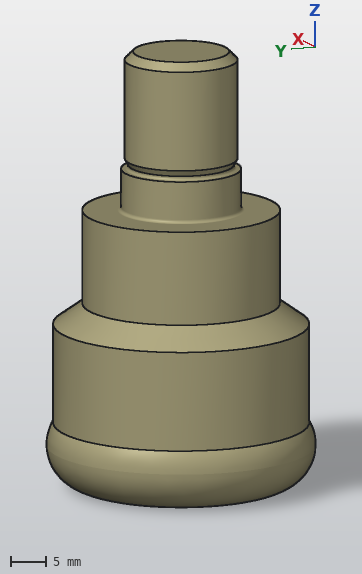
import cadquery as cq
import math

foot_radius = 19.05
foot_round = 6.0

barrel_radius = 18.125
barrel_top = 23.5
neck_radius = 14.0
neck_bottom = 26.5
neck_top = 40.0

collar_radius = 8.5
collar_top = 46.0
collar_fillet = 0.5

total_height = 63.0
stud_radius = 8.0
stud_chamfer = 1.2
groove_radius = 7.5
groove_fillet = 0.4
groove_land = 0.2
groove_height = 1.5

round_center_radius = foot_radius - foot_round
foot_height = 2 * foot_round
barrel_bottom = foot_round + math.sqrt(foot_round**2 - (barrel_radius - round_center_radius) ** 2)


def revolved(profile):
    """Turn a half profile in the XZ plane into a solid around the Z axis."""
    return profile.close().revolve(360, (0, 0, 0), (0, 1, 0))


def make_foot():
    """Disc with a fully rounded side, made of two quarter rounds."""
    round_offset = foot_round * math.sqrt(0.5)
    round_middle_radius = round_center_radius + round_offset
    profile = (
        cq.Workplane("XZ")
        .lineTo(round_center_radius, 0)
        .threePointArc((round_middle_radius, foot_round - round_offset), (foot_radius, foot_round))
        .threePointArc((round_middle_radius, foot_round + round_offset), (round_center_radius, foot_height))
        .lineTo(0, foot_height)
    )
    return revolved(profile)


def make_stem(foot):
    """Barrel, neck, collar and stud in one piece, recessed underneath to sit over the foot."""
    profile = (
        cq.Workplane("XZ")
        .moveTo(0, barrel_bottom)
        .lineTo(barrel_radius, barrel_bottom)
        .lineTo(barrel_radius, barrel_top)
        .lineTo(neck_radius, neck_bottom)
        .lineTo(neck_radius, neck_top)
        .lineTo(collar_radius + collar_fillet, neck_top)
        .radiusArc((collar_radius, neck_top + collar_fillet), collar_fillet)
        .lineTo(collar_radius, collar_top)
        .lineTo(groove_radius + groove_fillet, collar_top)
        .radiusArc((groove_radius, collar_top + groove_fillet), groove_fillet)
        .lineTo(groove_radius, collar_top + groove_fillet + groove_land)
        .lineTo(stud_radius, collar_top + groove_height)
        .lineTo(stud_radius, total_height - stud_chamfer)
        .lineTo(stud_radius - stud_chamfer, total_height)
        .lineTo(0, total_height)
    )
    return revolved(profile).cut(foot)


foot = make_foot()
stem = make_stem(foot)

result = cq.Compound.makeCompound([foot.val(), stem.val()])